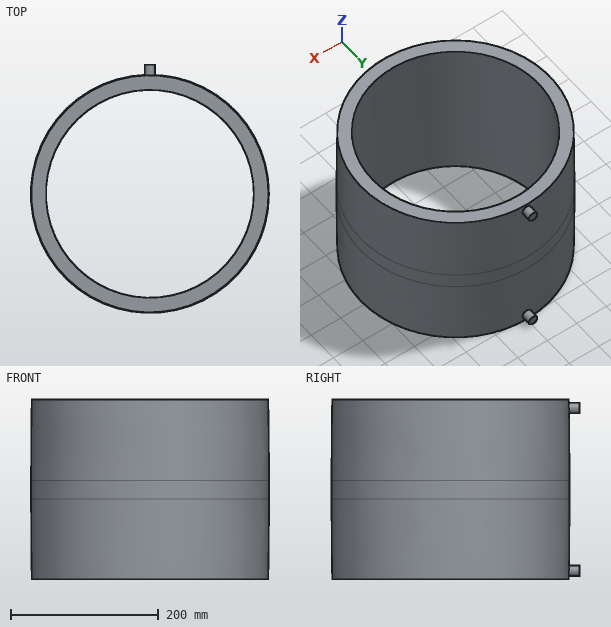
import cadquery as cq

height = 244.0
band_radius = 161.5
end_radius = 160.5
bore_radius = 140.5
band_height = 25.0

pin_diameter = 14.5
pin_tip_y = 175.0
pin_end_offset = 11.8
pin_root_y = (bore_radius + end_radius) / 2

band_bottom = (height - band_height) / 2
band_top = band_bottom + band_height


flank_drop = band_radius - end_radius
flank_arc_radius = (band_bottom**2 + flank_drop**2) / (2 * flank_drop)


def make_sleeve():
    """Ring with a straight middle band and slightly crowned flanks towards both ends."""
    profile = (
        cq.Workplane("XZ")
        .moveTo(bore_radius, 0)
        .lineTo(bore_radius, height)
        .lineTo(end_radius, height)
        .radiusArc((band_radius, band_top), flank_arc_radius)
        .lineTo(band_radius, band_bottom)
        .radiusArc((end_radius, 0), flank_arc_radius)
        .close()
    )
    return profile.revolve(360, (0, 0, 0), (0, 1, 0))


def make_pin(z):
    """Round pin pointing along +Y, rooted inside the sleeve wall."""
    return (
        cq.Workplane("XZ", origin=(0, pin_root_y, z))
        .circle(pin_diameter / 2)
        .extrude(pin_root_y - pin_tip_y)
    )


result = make_sleeve()
for pin_z in (pin_end_offset, height - pin_end_offset):
    result = result.union(make_pin(pin_z))